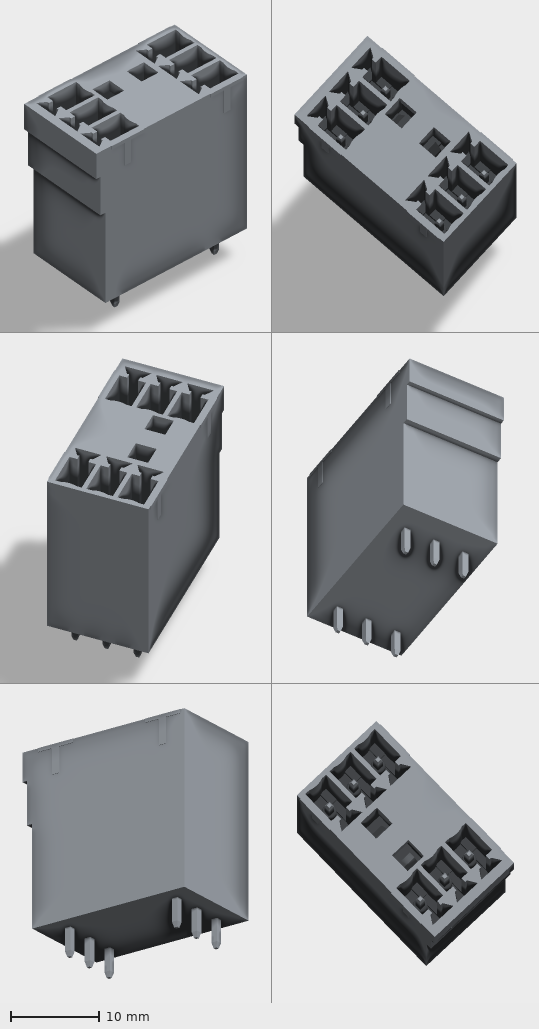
import cadquery as cq
import math


TOTAL_HEIGHT = 25.5
HOUSING_BOTTOM = 3.55
BLOCK_WIDTH = 12.47
BLOCK_LENGTH = 22.7
UPPER_STEP_DROP = 3.62
UPPER_STEP_SETBACK = 0.6
LOWER_STEP_DROP = 9.08
LOWER_STEP_SETBACK = 1.38

COLUMN_PITCH = 3.82
ROW_PITCH = 15.0
REAR_ROW_Y = 8.55
COLUMN_XS = [-COLUMN_PITCH, 0.0, COLUMN_PITCH]
ROW_YS = [REAR_ROW_Y, REAR_ROW_Y - ROW_PITCH]
PIN_SPOTS = [(x, y) for y in ROW_YS for x in COLUMN_XS]

PIN_SIZE = 0.8
PIN_TIP_SIZE = 0.4
PIN_TIP_LENGTH = 0.7
PIN_TOP_DROP = 4.08

POCKET_WIDTH = 3.26
POCKET_BACK = 2.25
POCKET_FRONT = -2.07
POCKET_DEPTH = 8.15
BULGE_WIDTH = 2.0
BULGE_HEIGHT = 0.18
NECK_WIDTH = 1.35
NECK_FRONT = -2.68
DOVETAIL_NARROW_WIDTH = 1.9
DOVETAIL_FRONT = -3.75
CHANNEL_DEPTH = 0.5
CROSS_GROOVE_WIDTH = 0.97
CROSS_GROOVE_DEPTH = 0.25
BOSS_DIAMETER = 1.68
BOSS_EDGE_RADIUS = 0.25
BOSS_RISE = 0.5

RIB_THICKNESS = 0.08
RIB_OFFSET_Y = -0.23
RIB_HEAD_LENGTH = 4.9
RIB_HEAD_HEIGHT = 0.48
RIB_STEM_LENGTH = 1.0
RIB_HEIGHT = 3.72

WINDOW_SIZE = 2.55
WINDOW_X = -COLUMN_PITCH / 2
REAR_WINDOW_Y = 2.75
FRONT_WINDOW_Y = -2.42
CAVITY_WIDTH = 3.32
CAVITY_BACK = REAR_WINDOW_Y + WINDOW_SIZE / 2
CAVITY_FRONT = FRONT_WINDOW_Y - WINDOW_SIZE / 2
CAVITY_FLOOR_DROP = 7.15
REAR_CEILING_DROP = 3.05
FRONT_CEILING_DROP = 1.5
CEILING_STEP_Y = 0.5

HOOK_WIDTH = 1.78
HOOK_TOP_DROP = 3.57
HOOK_FLAT_LENGTH = 0.76
HOOK_SLOPE_ANGLE = 60.0
HOOK_SLOPE = math.tan(math.radians(HOOK_SLOPE_ANGLE))
LATCH_BASE_DROP = 5.6
LATCH_THIN_DROP = 6.12
LATCH_SHOULDER_Y = 2.27
REAR_HOOK_TIP = 2.88
REAR_HOOK_RUN = 0.8
FRONT_HOOK_RUN = 0.92
FRONT_HOOK_TOE = 0.2


def box_between(x_range, y_range, z_range):
    """Box given by its lower and upper limits along each axis."""
    corner = [limits[0] for limits in (x_range, y_range, z_range)]
    size = [high - low for low, high in (x_range, y_range, z_range)]
    return cq.Workplane("XY").box(*size, centered=False).translate(tuple(corner))


def centred(middle, width):
    """Lower and upper limit of a width centred on a middle."""
    return (middle - width / 2, middle + width / 2)


def below_top(drop):
    """Height of a level given by its distance below the top of the housing."""
    return TOTAL_HEIGHT - drop


def extrude_yz(points, x_middle, width):
    """Prism along X with a (Y, Z) outline, centred on x_middle."""
    prism = cq.Workplane("YZ").polyline(points).close().extrude(width / 2, both=True)
    return prism.translate((x_middle, 0, 0))


def make_block():
    """Block whose front face steps back twice towards the bottom."""
    rear = BLOCK_LENGTH / 2
    front = -rear
    outline = [
        (rear, HOUSING_BOTTOM),
        (rear, TOTAL_HEIGHT),
        (front, TOTAL_HEIGHT),
        (front, below_top(UPPER_STEP_DROP)),
        (front + UPPER_STEP_SETBACK, below_top(UPPER_STEP_DROP)),
        (front + UPPER_STEP_SETBACK, below_top(LOWER_STEP_DROP)),
        (front + LOWER_STEP_SETBACK, below_top(LOWER_STEP_DROP)),
        (front + LOWER_STEP_SETBACK, HOUSING_BOTTOM),
    ]
    return extrude_yz(outline, 0, BLOCK_WIDTH)


def make_side_rib(row_y):
    """T-shaped bar across the block that stands out on both side faces."""
    middle = row_y + RIB_OFFSET_Y
    across = centred(0, BLOCK_WIDTH + 2 * RIB_THICKNESS)
    head = box_between(across, centred(middle, RIB_HEAD_LENGTH), (below_top(RIB_HEAD_HEIGHT), TOTAL_HEIGHT))
    stem = box_between(across, centred(middle, RIB_STEM_LENGTH), (below_top(RIB_HEIGHT), TOTAL_HEIGHT))
    return head.union(stem)


def make_pocket_opening(depth):
    """Pocket with a bulged back wall, a neck and a dovetail, around a pin at the origin."""
    side = POCKET_WIDTH / 2
    neck = NECK_WIDTH / 2
    narrow = DOVETAIL_NARROW_WIDTH / 2
    bulge = BULGE_WIDTH / 2
    return (
        cq.Workplane("XY", origin=(0, 0, below_top(depth)))
        .moveTo(-bulge, POCKET_BACK)
        .threePointArc((0, POCKET_BACK - BULGE_HEIGHT), (bulge, POCKET_BACK))
        .lineTo(side, POCKET_BACK)
        .lineTo(side, POCKET_FRONT)
        .lineTo(neck, POCKET_FRONT)
        .lineTo(neck, NECK_FRONT)
        .lineTo(narrow, NECK_FRONT)
        .lineTo(side, DOVETAIL_FRONT)
        .lineTo(-side, DOVETAIL_FRONT)
        .lineTo(-narrow, NECK_FRONT)
        .lineTo(-neck, NECK_FRONT)
        .lineTo(-neck, POCKET_FRONT)
        .lineTo(-side, POCKET_FRONT)
        .lineTo(-side, POCKET_BACK)
        .close()
        .extrude(depth)
    )


def make_pocket():
    """Whole space removed for one plug contact, leaving a rounded boss around the pin."""
    floor = below_top(POCKET_DEPTH)
    channel_floor = floor - CHANNEL_DEPTH
    channel_limits = box_between(
        centred(0, NECK_WIDTH),
        (NECK_FRONT, POCKET_BACK),
        (channel_floor, floor),
    )
    channel = make_pocket_opening(POCKET_DEPTH + CHANNEL_DEPTH).intersect(channel_limits)
    cross_groove = box_between(
        centred(0, POCKET_WIDTH),
        centred(0, CROSS_GROOVE_WIDTH),
        (floor - CROSS_GROOVE_DEPTH, floor),
    )
    boss = (
        cq.Workplane("XY", origin=(0, 0, channel_floor))
        .circle(BOSS_DIAMETER / 2)
        .extrude(CHANNEL_DEPTH + BOSS_RISE)
        .faces(">Z")
        .edges()
        .fillet(BOSS_EDGE_RADIUS)
    )
    return make_pocket_opening(POCKET_DEPTH).union(channel).union(cross_groove).cut(boss)


def make_windows():
    """Two square windows in the top that open into the latch cavity."""
    across = centred(WINDOW_X, WINDOW_SIZE)
    rear_depth = (below_top(REAR_CEILING_DROP), TOTAL_HEIGHT)
    front_depth = (below_top(FRONT_CEILING_DROP), TOTAL_HEIGHT)
    rear = box_between(across, centred(REAR_WINDOW_Y, WINDOW_SIZE), rear_depth)
    front = box_between(across, centred(FRONT_WINDOW_Y, WINDOW_SIZE), front_depth)
    return rear.union(front)


def make_cavity():
    """Latch cavity, with a higher ceiling under the front window."""
    outline = [
        (CAVITY_FRONT, below_top(CAVITY_FLOOR_DROP)),
        (CAVITY_FRONT, below_top(FRONT_CEILING_DROP)),
        (CEILING_STEP_Y, below_top(FRONT_CEILING_DROP)),
        (CEILING_STEP_Y, below_top(REAR_CEILING_DROP)),
        (CAVITY_BACK, below_top(REAR_CEILING_DROP)),
        (CAVITY_BACK, below_top(CAVITY_FLOOR_DROP)),
    ]
    return extrude_yz(outline, WINDOW_X, CAVITY_WIDTH)


def make_pin():
    """Square pin on the Z axis with both ends tapered."""
    top = below_top(PIN_TOP_DROP)
    shank = box_between(
        centred(0, PIN_SIZE),
        centred(0, PIN_SIZE),
        (PIN_TIP_LENGTH, top - PIN_TIP_LENGTH),
    )
    upper_tip = (
        cq.Workplane("XY", origin=(0, 0, top - PIN_TIP_LENGTH))
        .rect(PIN_SIZE, PIN_SIZE)
        .workplane(offset=PIN_TIP_LENGTH)
        .rect(PIN_TIP_SIZE, PIN_TIP_SIZE)
        .loft()
    )
    lower_tip = (
        cq.Workplane("XY")
        .rect(PIN_TIP_SIZE, PIN_TIP_SIZE)
        .workplane(offset=PIN_TIP_LENGTH)
        .rect(PIN_SIZE, PIN_SIZE)
        .loft()
    )
    return shank.union(upper_tip).union(lower_tip)


def make_housing(pins):
    """Block with ribs, pockets, windows, latch cavity and a matching hole for each pin."""
    body = make_block()
    for row_y in ROW_YS:
        body = body.union(make_side_rib(row_y))
    pocket = make_pocket()
    for x, y in PIN_SPOTS:
        body = body.cut(pocket.translate((x, y, 0)))
    for pin in pins:
        body = body.cut(pin)
    return body.cut(make_windows()).cut(make_cavity())


def make_latch():
    """Stepped base plate with one hook below each window."""
    floor = below_top(CAVITY_FLOOR_DROP)
    base_outline = [
        (CAVITY_FRONT, floor),
        (CAVITY_FRONT, below_top(LATCH_BASE_DROP)),
        (LATCH_SHOULDER_Y, below_top(LATCH_BASE_DROP)),
        (LATCH_SHOULDER_Y, below_top(LATCH_THIN_DROP)),
        (CAVITY_BACK, below_top(LATCH_THIN_DROP)),
        (CAVITY_BACK, floor),
    ]
    latch = extrude_yz(base_outline, WINDOW_X, CAVITY_WIDTH)

    hook_top = below_top(HOOK_TOP_DROP)
    rear_crest = REAR_HOOK_TIP - REAR_HOOK_RUN
    rear_outline = [
        (rear_crest - HOOK_FLAT_LENGTH, floor),
        (rear_crest - HOOK_FLAT_LENGTH, hook_top),
        (rear_crest, hook_top),
        (REAR_HOOK_TIP, hook_top - REAR_HOOK_RUN * HOOK_SLOPE),
        (REAR_HOOK_TIP, floor),
    ]
    front_tip = CAVITY_FRONT + FRONT_HOOK_TOE
    front_crest = front_tip + FRONT_HOOK_RUN
    toe_top = hook_top - FRONT_HOOK_RUN * HOOK_SLOPE
    front_outline = [
        (front_crest + HOOK_FLAT_LENGTH, floor),
        (front_crest + HOOK_FLAT_LENGTH, hook_top),
        (front_crest, hook_top),
        (front_tip, toe_top),
        (CAVITY_FRONT, toe_top),
        (CAVITY_FRONT, floor),
    ]
    for outline in (rear_outline, front_outline):
        latch = latch.union(extrude_yz(outline, WINDOW_X, HOOK_WIDTH))
    return latch


pin_shape = make_pin()
pins = [pin_shape.translate((x, y, 0)) for x, y in PIN_SPOTS]
housing = make_housing(pins)
latch = make_latch()

result = cq.Compound.makeCompound([housing.val(), latch.val(), *[pin.val() for pin in pins]])